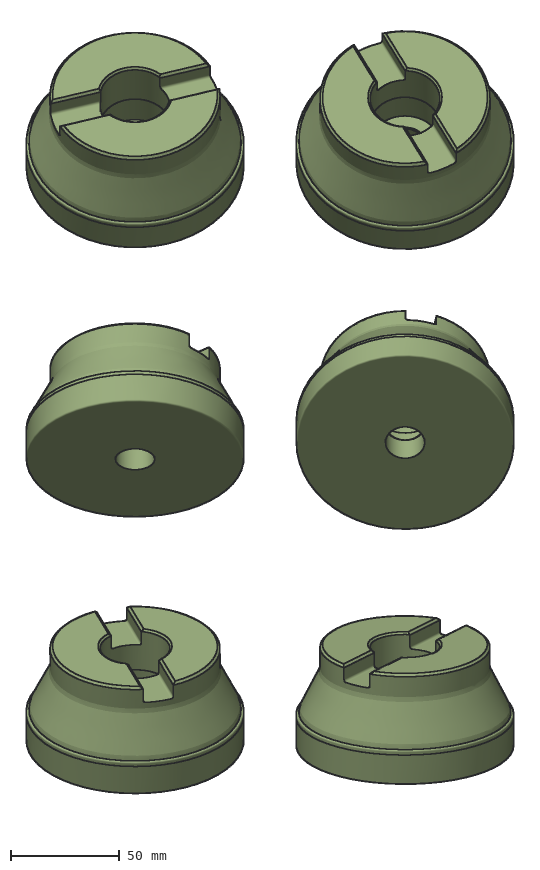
import cadquery as cq

outer_diameter = 99.9
total_height = 50.0

base_height = 14.5
base_rounding = 0.8
spigot_diameter = 45.0
spigot_top = 28.8

flange_top = 16.7
flange_rounding = 0.8
cone_bottom_diameter = 97.3
cone_top_diameter = 78.0
cone_bottom = 18.1
cone_top = 37.7
cone_blend_radius = 5.0
neck_chamfer = 1.2

through_diameter = 18.0
through_chamfer = 0.5
counterbore_diameter = 32.0
counterbore_chamfer = 1.0

slot_width = 14.4
slot_depth = 8.1
slot_floor = total_height - slot_depth
slot_chamfer = 1.2
slot_corner_radius = 1.2


def countersunk_bore(diameter, chamfer, bottom, top):
    """Cutter for a round bore on the Z axis, chamfered at its upper rim."""
    radius = diameter / 2
    outline = [
        (0, bottom),
        (radius, bottom),
        (radius, top - chamfer),
        (radius + chamfer, top),
        (0, top),
    ]
    return cq.Workplane("XZ").polyline(outline).close().revolve(360, (0, 0), (0, 1))


def make_base():
    """Disc with a rounded lower rim, a hollow spigot and a central hole."""
    disc = cq.Workplane("XY").circle(outer_diameter / 2).extrude(base_height)
    disc = disc.faces("<Z").edges().fillet(base_rounding)
    spigot = (
        cq.Workplane("XY")
        .workplane(offset=base_height)
        .circle(spigot_diameter / 2)
        .circle(counterbore_diameter / 2)
        .extrude(spigot_top - base_height)
    )
    through_bore = countersunk_bore(through_diameter, through_chamfer, 0, base_height)
    return disc.union(spigot).cut(through_bore)


def ring_at(height):
    """Selector for the circular edges lying at one height."""
    tolerance = 0.1
    return cq.selectors.BoxSelector(
        (-outer_diameter, -outer_diameter, height - tolerance),
        (outer_diameter, outer_diameter, height + tolerance),
        boundingbox=True,
    )


def make_adapter_blank():
    """Turned outside of the adapter: flange, cone and neck."""
    flange_radius = outer_diameter / 2
    cone_bottom_radius = cone_bottom_diameter / 2
    neck_radius = cone_top_diameter / 2
    outline = [
        (0, base_height),
        (flange_radius, base_height),
        (flange_radius, flange_top),
        (cone_bottom_radius, flange_top),
        (cone_bottom_radius, cone_bottom),
        (neck_radius, cone_top),
        (neck_radius, total_height - neck_chamfer),
        (neck_radius - neck_chamfer, total_height),
        (0, total_height),
    ]
    blank = cq.Workplane("XZ").polyline(outline).close().revolve(360, (0, 0), (0, 1))

    flange_rim = cq.selectors.RadiusNthSelector(-1)
    blank = blank.edges(ring_at(flange_top)).edges(flange_rim).fillet(flange_rounding)
    for corner_height in (cone_bottom, cone_top):
        blank = blank.edges(ring_at(corner_height)).fillet(cone_blend_radius)
    return blank


def make_slot_cutter():
    """Slot with rounded floor corners and chamfered upper edges."""
    half_width = slot_width / 2
    chamfer_outline = [
        (-half_width, total_height - slot_chamfer),
        (half_width, total_height - slot_chamfer),
        (half_width + slot_chamfer, total_height),
        (-half_width - slot_chamfer, total_height),
    ]
    channel = (
        cq.Workplane("XY")
        .box(slot_width, outer_diameter, slot_depth, centered=(True, True, False))
        .translate((0, 0, slot_floor))
        .edges("|Y and <Z")
        .fillet(slot_corner_radius)
    )
    flare = cq.Workplane("XZ").polyline(chamfer_outline).close().extrude(outer_diameter / 2, both=True)
    return channel.union(flare)


def make_adapter():
    """Tapered adapter with a spigot socket, a bore in line with the spigot and a driving slot."""
    socket = (
        cq.Workplane("XY")
        .workplane(offset=base_height)
        .circle(spigot_diameter / 2)
        .extrude(spigot_top - base_height)
    )
    counterbore = countersunk_bore(
        counterbore_diameter, counterbore_chamfer, spigot_top, total_height
    )
    return make_adapter_blank().cut(socket).cut(counterbore).cut(make_slot_cutter())


base = make_base()
adapter = make_adapter()
result = cq.Compound.makeCompound([base.val(), adapter.val()])